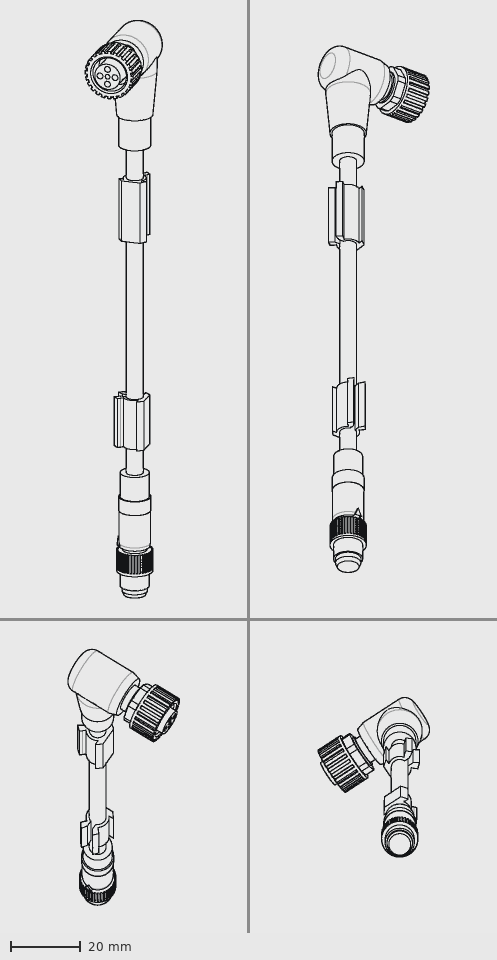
import cadquery as cq
import math

OVERALL_HEIGHT = 174.6
CABLE_RADIUS = 2.5

NUT_DIAMETER = 14.5
NUT_RADIUS = NUT_DIAMETER / 2
SOCKET_AXIS_Z = OVERALL_HEIGHT - NUT_RADIUS
ELBOW_RADIUS = 6.8
ELBOW_BACK = -7.2
ELBOW_ROUNDING = 3.0
ELBOW_TAPER_START = 8.0
ELBOW_FRONT = 10.5
ELBOW_FRONT_RADIUS = 6.1
NECK_RADIUS = 4.0
WASHER_RADIUS = 4.7
WASHER_BACK = 12.5
HEX_BACK = 13.1
HEX_FLATS = 11.7
HEX_CORNER_RADIUS = 6.3
NUT_BACK = 15.7
NUT_FRONT = 23.4
SOCKET_FRONT = 24.8
NUT_RIM = 0.9
NUT_GROOVES = 24
NUT_GROOVE_WIDTH = 0.9
NUT_GROOVE_DEPTH = 0.61
NUT_BORE_RADIUS = 5.0
NUT_BORE_DEPTH = 6.1
NUT_BORE_CHAMFER = 0.5
INSERT_RADIUS = 3.8
PIN_HOLES = 4
PIN_HOLE_RADIUS = 0.9
PIN_CIRCLE_RADIUS = 2.3
CENTRE_HOLE_RADIUS = 0.7
PIN_HOLE_DEPTH = 5.2

SHOULDER_Z = 160.5
SHOULDER_RADIUS = 6.5
CONE_BOTTOM_Z = 147.0
CONE_BOTTOM_RADIUS = 5.2
SLEEVE_BOTTOM_Z = 137.5
SLEEVE_DIAMETER = 9.3
SLEEVE_RADIUS = SLEEVE_DIAMETER / 2

UPPER_CLIP_BOTTOM_Z = 109.1
UPPER_CLIP_LENGTH = 18.5
LOWER_CLIP_BOTTOM_Z = 45.5
LOWER_CLIP_LENGTH = 15.0
CLIP_RING_RADIUS = 3.3
CLIP_FACE_Y = -3.7
CLIP_FACE_HALF_WIDTH = 2.8
CLIP_PLATE_HALF_WIDTH = 4.2
CLIP_PLATE_BACK_Y = -2.0
CLIP_LIP_TOP_Y = 5.5
CLIP_LIP_SIDE_Y = 4.2
CLIP_LIP_STEP_Y = 3.5
CLIP_LIP_ROOT_Y = 2.6
CLIP_LIP_HALF_WIDTH = 3.1
CLIP_LIP_ROOT_HALF_WIDTH = 1.7
CLIP_LIP_STEP_HALF_WIDTH = 2.6
CLIP_LIP_TIP_HALF_WIDTH = 2.0
CLIP_MOUTH_HALF_WIDTH = 0.9

PLUG_TOP_Z = 37.4
PLUG_COLLAR_RADIUS = 4.2
PLUG_BODY_TOP_Z = 30.0
PLUG_BODY_RADIUS = 4.5
PLUG_BAND_RADIUS = SLEEVE_RADIUS
PLUG_BAND_BOTTOM_Z = 25.8
PLUG_BODY_BOTTOM_Z = 14.8
PLUG_BODY_EDGE_Z = 15.9
PLUG_BODY_EDGE_RADIUS = 4.4
PLUG_NECK_RADIUS = 3.5
RING_TOP_Z = 13.8
RING_BOTTOM_Z = 7.3
RING_RADIUS = 5.2
RING_RIM = 0.9
RING_GROOVES = 36
RING_GROOVE_WIDTH = 0.44
RING_GROOVE_DEPTH = 0.3
BARREL_BOTTOM_Z = 2.6
BARREL_RADIUS = 4.2
NOSE_RADIUS = 3.7
NOSE_CHAMFER_HEIGHT = 1.2
NOSE_CHAMFER_INSET = 0.5
ARROW_HALF_WIDTH = 1.0
ARROW_HEIGHT = 2.5
ARROW_REACH = 5.0


def rod(radius, start, end):
    """Cylinder on the Z axis between two heights."""
    return cq.Workplane("XY").workplane(offset=start).circle(radius).extrude(end - start)


def frustum(start_radius, start, end_radius, end):
    """Cone section on the Z axis between two heights."""
    return (
        cq.Workplane("XY")
        .workplane(offset=start)
        .circle(start_radius)
        .workplane(offset=end - start)
        .circle(end_radius)
        .loft()
    )


def grooves(count, radius, depth, width, start, end):
    """Straight grooves around the Z axis, cut inward from the given radius."""
    tool = cq.Workplane("XY")
    for index in range(count):
        groove = (
            cq.Workplane("XY")
            .workplane(offset=start)
            .center(radius, 0)
            .rect(2 * depth, width)
            .extrude(end - start)
        )
        angle = 360 / count * (index + 0.5)
        tool = tool.add(groove.rotate((0, 0, 0), (0, 0, 1), angle))
    return tool.combine()


def socket_nut():
    """Grooved coupling nut with a hexagon at its back, along +Z."""
    nut = rod(NUT_RADIUS, NUT_BACK, NUT_FRONT)
    nut = nut.cut(
        grooves(
            NUT_GROOVES, NUT_RADIUS, NUT_GROOVE_DEPTH, NUT_GROOVE_WIDTH,
            NUT_BACK + NUT_RIM, NUT_FRONT,
        )
    )
    corner_diameter = HEX_FLATS / math.cos(math.pi / 6)
    hexagon = (
        cq.Workplane("XY")
        .workplane(offset=HEX_BACK)
        .polygon(6, corner_diameter)
        .extrude(NUT_BACK - HEX_BACK)
        .intersect(rod(HEX_CORNER_RADIUS, HEX_BACK, NUT_BACK))
    )
    bore = rod(NUT_BORE_RADIUS, NUT_FRONT - NUT_BORE_DEPTH, NUT_FRONT)
    bore_chamfer = frustum(
        NUT_BORE_RADIUS, NUT_FRONT - NUT_BORE_CHAMFER,
        NUT_BORE_RADIUS + NUT_BORE_CHAMFER, NUT_FRONT,
    )
    return nut.union(hexagon).cut(bore).cut(bore_chamfer)


def socket():
    """Elbow housing, neck, nut and contact insert, turned to point along -Y."""
    housing = (
        rod(ELBOW_RADIUS, ELBOW_BACK, ELBOW_TAPER_START)
        .faces("<Z")
        .edges()
        .fillet(ELBOW_ROUNDING)
    )
    taper = frustum(ELBOW_RADIUS, ELBOW_TAPER_START, ELBOW_FRONT_RADIUS, ELBOW_FRONT)
    pin_holes = (
        cq.Workplane("XY")
        .workplane(offset=SOCKET_FRONT - PIN_HOLE_DEPTH)
        .polarArray(PIN_CIRCLE_RADIUS, 0, 360, PIN_HOLES)
        .circle(PIN_HOLE_RADIUS)
        .extrude(PIN_HOLE_DEPTH)
    )
    body = (
        housing.union(taper)
        .union(rod(NECK_RADIUS, ELBOW_FRONT, HEX_BACK))
        .union(rod(WASHER_RADIUS, WASHER_BACK, HEX_BACK))
        .union(socket_nut())
        .union(rod(INSERT_RADIUS, HEX_BACK, SOCKET_FRONT))
        .cut(pin_holes)
        .cut(rod(CENTRE_HOLE_RADIUS, SOCKET_FRONT - PIN_HOLE_DEPTH, SOCKET_FRONT))
    )
    return body.rotate((0, 0, 0), (1, 0, 0), 90).translate((0, 0, SOCKET_AXIS_Z))


def strain_relief():
    """Tapered boot under the elbow, ending in a plain sleeve."""
    profile = [
        (0, SOCKET_AXIS_Z),
        (SHOULDER_RADIUS, SOCKET_AXIS_Z),
        (SHOULDER_RADIUS, SHOULDER_Z),
        (CONE_BOTTOM_RADIUS, CONE_BOTTOM_Z),
        (SLEEVE_RADIUS, CONE_BOTTOM_Z),
        (SLEEVE_RADIUS, SLEEVE_BOTTOM_Z),
        (0, SLEEVE_BOTTOM_Z),
    ]
    return cq.Workplane("XZ").polyline(profile).close().revolve(360, (0, 0, 0), (0, 1, 0))


def label_clip(bottom, length):
    """Snap-on clip: a label plate on the -Y side, a ring and two open lips on the +Y side."""
    plane = cq.Workplane("XY").workplane(offset=bottom)
    plate = (
        plane.moveTo(-CLIP_FACE_HALF_WIDTH, CLIP_FACE_Y)
        .lineTo(CLIP_FACE_HALF_WIDTH, CLIP_FACE_Y)
        .lineTo(CLIP_PLATE_HALF_WIDTH, CLIP_PLATE_BACK_Y)
        .lineTo(-CLIP_PLATE_HALF_WIDTH, CLIP_PLATE_BACK_Y)
        .close()
        .extrude(length)
    )
    clip = plate.union(rod(CLIP_RING_RADIUS, bottom, bottom + length))
    for side in (-1, 1):
        lip = (
            plane.moveTo(0, CLIP_LIP_ROOT_Y)
            .lineTo(side * CLIP_LIP_ROOT_HALF_WIDTH, CLIP_LIP_ROOT_Y)
            .lineTo(side * CLIP_LIP_STEP_HALF_WIDTH, CLIP_LIP_STEP_Y)
            .lineTo(side * CLIP_LIP_HALF_WIDTH, CLIP_LIP_SIDE_Y)
            .lineTo(side * CLIP_LIP_TIP_HALF_WIDTH, CLIP_LIP_TOP_Y)
            .close()
            .extrude(length)
        )
        clip = clip.union(lip)
    mouth = (
        plane.center(0, CLIP_LIP_TOP_Y / 2)
        .rect(2 * CLIP_MOUTH_HALF_WIDTH, CLIP_LIP_TOP_Y)
        .extrude(length)
    )
    return clip.cut(mouth)


def plug():
    """Straight plug with a grooved locking ring and a stepped nose."""
    body_edge = frustum(
        PLUG_BODY_EDGE_RADIUS, PLUG_BODY_BOTTOM_Z, PLUG_BODY_RADIUS, PLUG_BODY_EDGE_Z
    )
    ring = rod(RING_RADIUS, RING_BOTTOM_Z, RING_TOP_Z).cut(
        grooves(
            RING_GROOVES, RING_RADIUS, RING_GROOVE_DEPTH, RING_GROOVE_WIDTH,
            RING_BOTTOM_Z + RING_RIM, RING_TOP_Z,
        )
    )
    nose = rod(NOSE_RADIUS, NOSE_CHAMFER_HEIGHT, BARREL_BOTTOM_Z)
    nose_chamfer = frustum(NOSE_RADIUS - NOSE_CHAMFER_INSET, 0, NOSE_RADIUS, NOSE_CHAMFER_HEIGHT)
    arrow = (
        cq.Workplane("YZ")
        .moveTo(-ARROW_HALF_WIDTH, PLUG_BODY_BOTTOM_Z)
        .lineTo(ARROW_HALF_WIDTH, PLUG_BODY_BOTTOM_Z)
        .lineTo(0, PLUG_BODY_BOTTOM_Z + ARROW_HEIGHT)
        .close()
        .extrude(-ARROW_REACH)
    )
    return (
        rod(PLUG_COLLAR_RADIUS, PLUG_BODY_TOP_Z, PLUG_TOP_Z)
        .union(rod(PLUG_BAND_RADIUS, PLUG_BAND_BOTTOM_Z, PLUG_BODY_TOP_Z))
        .union(rod(PLUG_BODY_RADIUS, PLUG_BODY_EDGE_Z, PLUG_BAND_BOTTOM_Z))
        .union(body_edge)
        .union(rod(PLUG_NECK_RADIUS, RING_TOP_Z, PLUG_BODY_BOTTOM_Z))
        .union(ring)
        .union(rod(BARREL_RADIUS, BARREL_BOTTOM_Z, RING_BOTTOM_Z))
        .union(nose)
        .union(nose_chamfer)
        .union(arrow)
    )


upper_clip = label_clip(UPPER_CLIP_BOTTOM_Z, UPPER_CLIP_LENGTH)
lower_clip = label_clip(LOWER_CLIP_BOTTOM_Z, LOWER_CLIP_LENGTH).rotate((0, 0, 0), (0, 0, 1), 90)

result = (
    socket()
    .union(strain_relief())
    .union(rod(CABLE_RADIUS, PLUG_TOP_Z, SLEEVE_BOTTOM_Z))
    .union(upper_clip)
    .union(lower_clip)
    .union(plug())
)